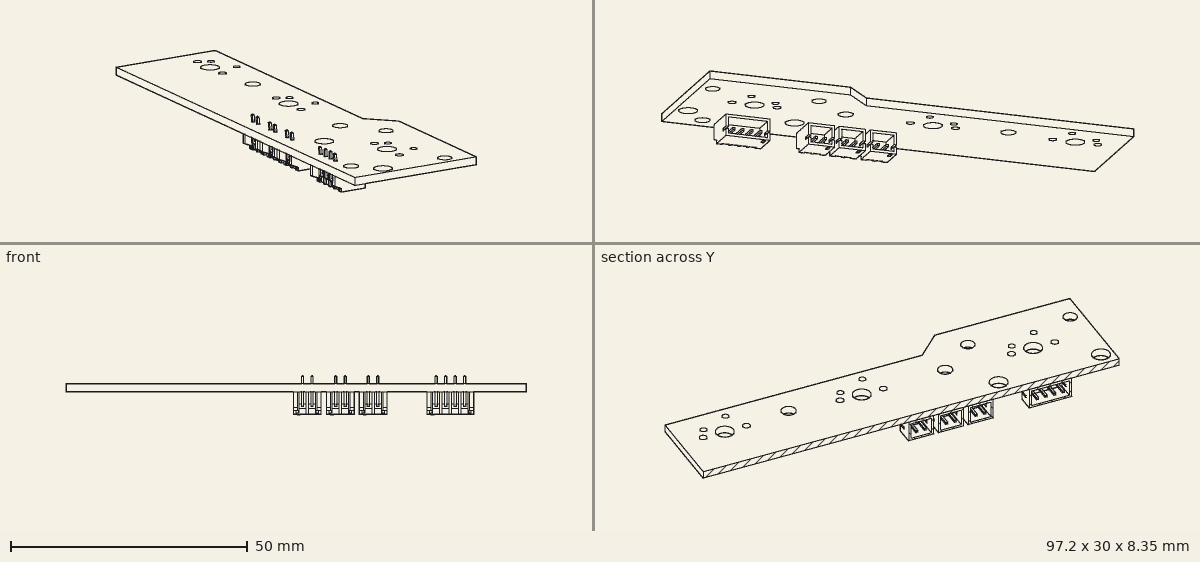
import cadquery as cq

BOARD_LENGTH = 97.15
BOARD_WIDTH = 30.0
BOARD_THICKNESS = 1.75
STEP_DEPTH = 5.5
STEP_START_X = 60.0

SWITCH_CENTRES = [(10.4, 16.9), (42.4, 16.9), (82.4, 16.9)]
SWITCH_CENTRE_DIAMETER = 4.0
SWITCH_SIDE_DIAMETER = 1.7
SWITCH_SIDE_OFFSET = 5.1
SWITCH_PIN_DIAMETER = 1.5
SWITCH_PIN_OFFSETS = [(-3.8, 2.5), (2.5, 5.1)]

STABILISER_OFFSET_X = 11.95
STABILISER_BACK_OFFSET_Y = 7.0
STABILISER_FRONT_OFFSET_Y = -8.3
STABILISER_BACK_DIAMETER = 3.0
STABILISER_FRONT_DIAMETER = 4.0

MOUNT_DIAMETER = 3.2
MOUNT_CENTRES = [(25.8, 18.1), (62.2, 17.6), (89.4, 3.8)]

CONNECTORS = [(2, 50.9, 3.6), (2, 57.9, 3.6), (2, 64.8, 3.6), (4, 81.1, 3.1)]
FOUR_CONTACT_SPAN = 6.0
CONTACT_PITCH = FOUR_CONTACT_SPAN / 3
END_MARGIN = 1.9
HOUSING_DEPTH = 7.6
HOUSING_HEIGHT = 4.8
PIN_SETBACK = 1.4

STEP_SETBACK = 1.7
END_WALL = 0.9
SLOPE_TOP = 3.3
SLOPE_BOTTOM = 4.0

SLOT_WIDTH = 1.5
SLOT_DEPTH = 0.5
SLOT_TAPER = 0.11
LEDGE_TOP = 2.6
LEDGE_BOTTOM = 3.5
LEDGE_DEPTH = 0.2
FOOT_DEPTH = 0.3
FOOT_TAPER = 0.11

POCKET_WIDTH = 0.5
POCKET_HEIGHT = 0.5
POCKET_DEPTH = 0.2
POCKET_END_OFFSET = 0.6

CAVITY_WALL = 0.6
CAVITY_DEPTH = 4.9
NOTCH_LENGTH = 1.9
NOTCH_HEIGHT = 0.5
CONTACT_LEVEL = 2.9

MARK_WIDTH = 0.6
MARK_LENGTH = 1.3
MARK_HEIGHT = 0.1
MARK_SETBACK = 0.5
MARK_END_OFFSET = 0.9

PIN_WIDTH = 0.5
PIN_RISE = 1.7
PIN_CHAMFER = 0.2
PIN_LEAN = 0.2
PIN_BEND_RADIUS = 0.3
PIN_FRONT_GAP = 0.4
PIN_HOLE_DIAMETER = 0.75


def pin_offsets(count):
    """X of each pin, measured from the middle of its connector."""
    return [(i - (count - 1) / 2) * CONTACT_PITCH for i in range(count)]


def box(x_range, y_range, z_range):
    """Axis-aligned block from three (low, high) pairs."""
    sizes = [high - low for low, high in (x_range, y_range, z_range)]
    corner = (x_range[0], y_range[0], z_range[0])
    return cq.Workplane("XY").box(*sizes, centered=False).translate(corner)


def drill(board, points, diameter):
    """Round through holes in the board."""
    cutters = cq.Workplane("XY").pushPoints(points).circle(diameter / 2).extrude(BOARD_THICKNESS)
    return board.cut(cutters)


def make_board():
    """Flat board with its underside at Z = 0 and all its holes."""
    left_width = BOARD_WIDTH - STEP_DEPTH
    outline = [
        (0, 0),
        (BOARD_LENGTH, 0),
        (BOARD_LENGTH, BOARD_WIDTH),
        (STEP_START_X + STEP_DEPTH, BOARD_WIDTH),
        (STEP_START_X, left_width),
        (0, left_width),
    ]
    board = cq.Workplane("XY").polyline(outline).close().extrude(BOARD_THICKNESS)

    for x, y in SWITCH_CENTRES:
        sides = [(x - SWITCH_SIDE_OFFSET, y), (x + SWITCH_SIDE_OFFSET, y)]
        pins = [(x + dx, y + dy) for dx, dy in SWITCH_PIN_OFFSETS]
        board = drill(board, [(x, y)], SWITCH_CENTRE_DIAMETER)
        board = drill(board, sides, SWITCH_SIDE_DIAMETER)
        board = drill(board, pins, SWITCH_PIN_DIAMETER)

    wide_x, wide_y = SWITCH_CENTRES[-1]
    stabiliser_x = [wide_x - STABILISER_OFFSET_X, wide_x + STABILISER_OFFSET_X]
    back = [(x, wide_y + STABILISER_BACK_OFFSET_Y) for x in stabiliser_x]
    front = [(x, wide_y + STABILISER_FRONT_OFFSET_Y) for x in stabiliser_x]
    board = drill(board, back, STABILISER_BACK_DIAMETER)
    board = drill(board, front, STABILISER_FRONT_DIAMETER)
    board = drill(board, MOUNT_CENTRES, MOUNT_DIAMETER)

    for count, x, y in CONNECTORS:
        pins = [(x + dx, y) for dx in pin_offsets(count)]
        board = drill(board, pins, PIN_HOLE_DIAMETER)
    return board


def make_slot():
    """Full-height recess cut into the rear face behind one pin, measured from that face."""
    profile = [
        (0, 0),
        (SLOT_DEPTH, 0),
        (SLOT_DEPTH - SLOT_TAPER, -LEDGE_TOP),
        (LEDGE_DEPTH, -LEDGE_TOP),
        (LEDGE_DEPTH, -LEDGE_BOTTOM),
        (FOOT_DEPTH, -LEDGE_BOTTOM),
        (FOOT_DEPTH + FOOT_TAPER, -HOUSING_HEIGHT),
        (0, -HOUSING_HEIGHT),
    ]
    return (
        cq.Workplane("YZ", origin=(-SLOT_WIDTH / 2, 0, 0))
        .polyline(profile).close().extrude(SLOT_WIDTH)
    )


def make_housing(count):
    """Socket housing centred on X = 0, its rear face at Y = 0 and its top at Z = 0."""
    half_length = (count - 1) * CONTACT_PITCH / 2 + END_MARGIN
    profile = [
        (0, 0),
        (HOUSING_DEPTH, 0),
        (HOUSING_DEPTH, -HOUSING_HEIGHT),
        (STEP_SETBACK, -HOUSING_HEIGHT),
        (STEP_SETBACK, -SLOPE_BOTTOM),
        (0, -SLOPE_TOP),
    ]
    housing = (
        cq.Workplane("YZ", origin=(-half_length, 0, 0))
        .polyline(profile).close().extrude(2 * half_length)
    )

    wing_inner = half_length - END_WALL
    housing = housing.cut(box((-wing_inner, wing_inner), (0, STEP_SETBACK), (-HOUSING_HEIGHT, 0)))

    for x in pin_offsets(count):
        housing = housing.cut(make_slot().translate((x, STEP_SETBACK, 0)))

    for side in (-1, 1):
        pocket_x = side * (half_length - POCKET_END_OFFSET - POCKET_WIDTH / 2)
        pocket = box(
            (-POCKET_WIDTH / 2, POCKET_WIDTH / 2),
            (STEP_SETBACK, STEP_SETBACK + POCKET_DEPTH),
            (-SLOPE_BOTTOM - POCKET_HEIGHT, -SLOPE_BOTTOM),
        )
        housing = housing.cut(pocket.translate((pocket_x, 0, 0)))

    cavity_half = half_length - CAVITY_WALL
    housing = housing.cut(
        box(
            (-cavity_half, cavity_half),
            (HOUSING_DEPTH - CAVITY_DEPTH, HOUSING_DEPTH),
            (CAVITY_WALL - HOUSING_HEIGHT, -CAVITY_WALL),
        )
    )
    housing = housing.cut(
        box(
            (-half_length, half_length),
            (HOUSING_DEPTH - NOTCH_LENGTH, HOUSING_DEPTH),
            (-CONTACT_LEVEL - NOTCH_HEIGHT / 2, -CONTACT_LEVEL + NOTCH_HEIGHT / 2),
        )
    )

    mark_x = MARK_END_OFFSET - half_length
    mark_end = HOUSING_DEPTH - MARK_SETBACK
    mark = box(
        (mark_x, mark_x + MARK_WIDTH),
        (mark_end - MARK_LENGTH, mark_end),
        (-HOUSING_HEIGHT - MARK_HEIGHT, -HOUSING_HEIGHT),
    )
    return housing.union(mark)


def make_pin_tip(lean):
    """Part of a pin above the board, leaning back by the given amount, with a chamfered tip."""
    half = PIN_WIDTH / 2
    profile = [
        (PIN_SETBACK - half, BOARD_THICKNESS),
        (PIN_SETBACK + half, BOARD_THICKNESS),
        (PIN_SETBACK + half - lean, BOARD_THICKNESS + PIN_RISE),
        (PIN_SETBACK - half - lean, BOARD_THICKNESS + PIN_RISE),
    ]
    tip = cq.Workplane("YZ", origin=(-half, 0, 0)).polyline(profile).close().extrude(PIN_WIDTH)
    return tip.faces(">Z").chamfer(PIN_CHAMFER)


def make_pin(lean):
    """Square L-shaped contact: up through the board, and forward into the cavity."""
    half = PIN_WIDTH / 2
    post = box(
        (-half, half),
        (PIN_SETBACK - half, PIN_SETBACK + half),
        (-CONTACT_LEVEL - half, BOARD_THICKNESS),
    )
    arm = box(
        (-half, half),
        (PIN_SETBACK - half, HOUSING_DEPTH - PIN_FRONT_GAP),
        (-CONTACT_LEVEL - half, -CONTACT_LEVEL + half),
    )
    contact = post.union(arm).edges("<Y and <Z").fillet(PIN_BEND_RADIUS)
    return contact.union(make_pin_tip(lean))


def make_connector(count):
    """Housing with its moulded-in contacts, as one solid."""
    connector = make_housing(count)
    offsets = pin_offsets(count)
    for x in offsets:
        lean = PIN_LEAN if x in (offsets[0], offsets[-1]) else 0
        connector = connector.union(make_pin(lean).translate((x, 0, 0)))
    return connector


board = make_board()
connectors = [
    make_connector(count).translate((x, pin_row_y - PIN_SETBACK, 0))
    for count, x, pin_row_y in CONNECTORS
]

result = cq.Compound.makeCompound([board.val(), *[connector.val() for connector in connectors]])